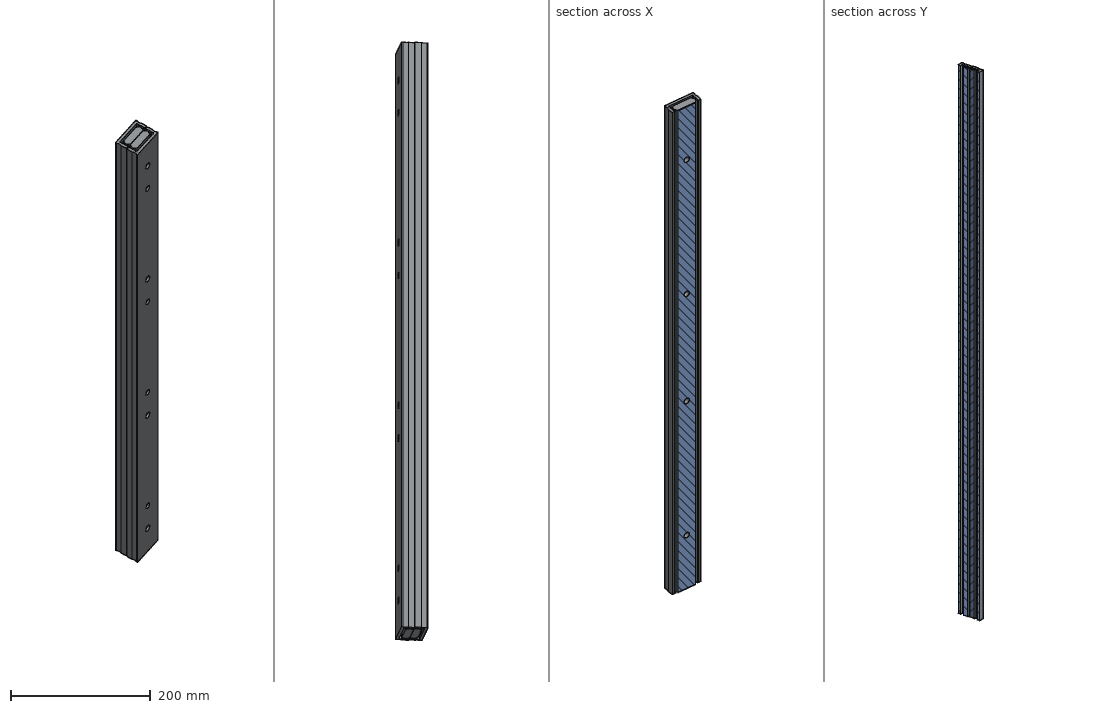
import cadquery as cq

LENGTH = 900.0
HALF_SHIFT = 1.0
WIDTH = 39.0
HEIGHT = 51.0

WALL = 4.5
RAIL_GAP = 1.0
TIP_CHAMFER_X = 4.0
TIP_CHAMFER_Y = 0.45
GROOVE_WIDTH = 8.0
GROOVE_DEPTH = 1.0
GROOVE_OFFSET = 5.85

BAR_WIDTH = 12.0
BAR_HEIGHT = 38.0
BAR_NOSE_WIDTH = 3.0
BAR_NOSE_HEIGHT = 3.15

CAGE_WIDTH = 11.0

THROUGH_HOLE_DIAMETER = 9.0
RAIL_HOLE_DIAMETER = 10.0
THROUGH_HOLE_FROM_MIDDLE = (100.0, 350.0)
RAIL_HOLE_FROM_MIDDLE = (150.0, 400.0)

END_HOLE_HEIGHT = 7.0
CONE_OUTER_DIAMETER = 12.0
CONE_INNER_DIAMETER = 4.0
SIDE_HOLE_OFFSET = 11.0
SIDE_HOLE_SIDE = 6.0
SIDE_HOLE_TILT = 30.0

SIDE_X = WIDTH / 2
TOP_Y = HEIGHT / 2
BODY_LENGTH = LENGTH - HALF_SHIFT
BOTTOM_Z = {-1: HALF_SHIFT - LENGTH / 2, 1: -LENGTH / 2}
END_HOLE_Z = BOTTOM_Z[-1] + END_HOLE_HEIGHT
WEB_INNER_X = SIDE_X - WALL
FLANGE_INNER_Y = TOP_Y - WALL
TIP_X = RAIL_GAP / 2
GROOVE_X = SIDE_X - GROOVE_OFFSET
BAR_TOP_Y = BAR_HEIGHT / 2
BAR_MIDDLE_X = BAR_WIDTH / 2
CAGE_HEIGHT = FLANGE_INNER_Y - BAR_TOP_Y


def both_ways(distances):
    """Heights at each distance above and below the middle of the length."""
    return [sign * distance for distance in distances for sign in (-1, 1)]


def cross_holes(heights, diameter, start_x, depth):
    """Cylinders along +X from start_x, one at each height."""
    return (
        cq.Workplane("YZ", origin=(start_x, 0, 0))
        .pushPoints([(0, z) for z in heights])
        .circle(diameter / 2)
        .extrude(depth)
    )


def through_holes():
    """Cylinders that pass through every rail and bar."""
    return cross_holes(both_ways(THROUGH_HOLE_FROM_MIDDLE), THROUGH_HOLE_DIAMETER, -SIDE_X, WIDTH)


def make_rail(side):
    """C-shaped rail with a shallow groove along the outside of each flange."""
    outer_groove_edge = GROOVE_X + GROOVE_WIDTH / 2
    inner_groove_edge = GROOVE_X - GROOVE_WIDTH / 2
    half = (
        cq.Workplane("XY", origin=(0, 0, BOTTOM_Z[side]))
        .moveTo(side * SIDE_X, 0)
        .lineTo(side * SIDE_X, TOP_Y)
        .lineTo(side * outer_groove_edge, TOP_Y)
        .threePointArc((side * GROOVE_X, TOP_Y - GROOVE_DEPTH), (side * inner_groove_edge, TOP_Y))
        .lineTo(side * (TIP_X + TIP_CHAMFER_X), TOP_Y)
        .lineTo(side * TIP_X, TOP_Y - TIP_CHAMFER_Y)
        .lineTo(side * TIP_X, FLANGE_INNER_Y)
        .lineTo(side * WEB_INNER_X, FLANGE_INNER_Y)
        .lineTo(side * WEB_INNER_X, 0)
        .close()
        .extrude(BODY_LENGTH)
    )
    rail = half.union(half.mirror("XZ")).clean()
    web_start = min(side * SIDE_X, side * WEB_INNER_X)
    rail_holes = cross_holes(both_ways(RAIL_HOLE_FROM_MIDDLE), RAIL_HOLE_DIAMETER, web_start, WALL)
    return rail.cut(rail_holes).cut(through_holes())


def end_holes():
    """A conical hole with a tilted square hole on each side, at the lower end."""
    outer_face = cq.Workplane("YZ", origin=(-SIDE_X, 0, 0))
    cutters = (
        outer_face.center(0, END_HOLE_Z)
        .circle(CONE_OUTER_DIAMETER / 2)
        .workplane(offset=WALL)
        .circle(CONE_INNER_DIAMETER / 2)
        .loft()
    )
    for side in (-1, 1):
        side_hole = (
            cq.Workplane("YZ", origin=(-SIDE_X, side * SIDE_HOLE_OFFSET, END_HOLE_Z))
            .transformed(rotate=(0, 0, -side * SIDE_HOLE_TILT))
            .rect(SIDE_HOLE_SIDE, SIDE_HOLE_SIDE)
            .extrude(WALL)
        )
        cutters = cutters.union(side_hole)
    return cutters


def make_bar(side):
    """Solid bar whose narrow edges taper to a nose; side is -1 for left, 1 for right."""
    shoulder_y = BAR_TOP_Y - BAR_NOSE_HEIGHT
    nose_inner = side * (BAR_MIDDLE_X - BAR_NOSE_WIDTH / 2)
    nose_outer = side * (BAR_MIDDLE_X + BAR_NOSE_WIDTH / 2)
    outline = [
        (0, -shoulder_y),
        (nose_inner, -BAR_TOP_Y),
        (nose_outer, -BAR_TOP_Y),
        (side * BAR_WIDTH, -shoulder_y),
        (side * BAR_WIDTH, shoulder_y),
        (nose_outer, BAR_TOP_Y),
        (nose_inner, BAR_TOP_Y),
        (0, shoulder_y),
    ]
    base = cq.Workplane("XY", origin=(0, 0, BOTTOM_Z[side]))
    bar = base.polyline(outline).close().extrude(BODY_LENGTH)
    return bar.cut(through_holes())


def make_cage(x_side, y_side):
    """Strip that fills the height between a bar's nose and a rail's flange."""
    x = x_side * BAR_MIDDLE_X
    y = y_side * (BAR_TOP_Y + CAGE_HEIGHT / 2)
    base = cq.Workplane("XY", origin=(x, y, BOTTOM_Z[x_side]))
    return base.rect(CAGE_WIDTH, CAGE_HEIGHT).extrude(BODY_LENGTH)


left_rail = make_rail(-1).cut(end_holes())
right_rail = make_rail(1)
bars = [make_bar(side) for side in (-1, 1)]
cages = [make_cage(x_side, y_side) for x_side in (-1, 1) for y_side in (-1, 1)]

result = cq.Compound.makeCompound(
    [
        left_rail.val(),
        right_rail.val(),
        *[bar.val() for bar in bars],
        *[cage.val() for cage in cages],
    ]
)